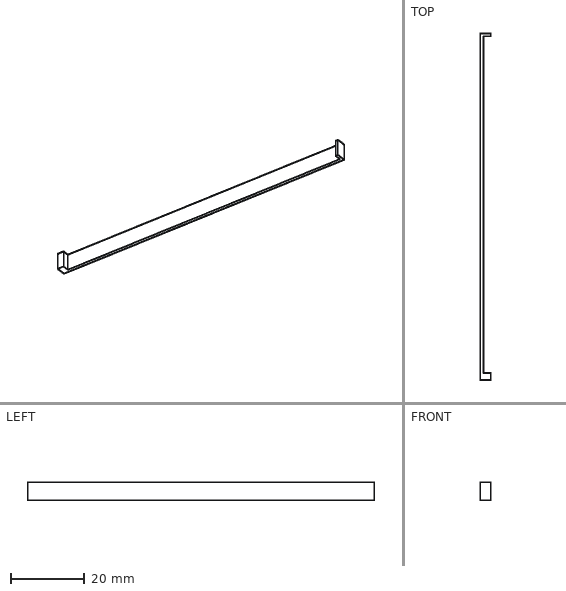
import cadquery as cq

depth = 3.0
length = 95.0
height = 5.0

web_thickness = 1.0
front_arm_thickness = 2.0
back_arm_thickness = 0.8


def end_arm(y_start, thickness):
    """Full-depth arm at one end of the web, starting at y_start."""
    arm = cq.Workplane("XY").box(depth, thickness, height, centered=False)
    return arm.translate((0, y_start, 0))


web = cq.Workplane("XY").box(web_thickness, length, height, centered=False)
front_arm = end_arm(0, front_arm_thickness)
back_arm = end_arm(length - back_arm_thickness, back_arm_thickness)

result = web.union(front_arm).union(back_arm)